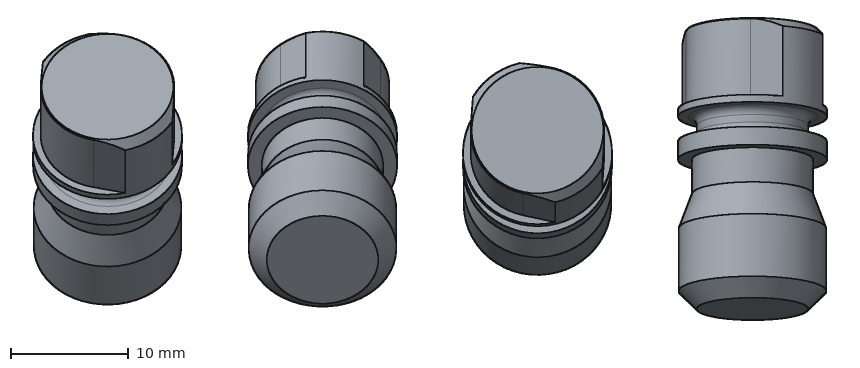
import cadquery as cq
import math

total_height = 24.13
head_base_z = 17.3
collar_base_z = 16.67
flange_top_z = 14.53
flange_base_z = 12.95
neck_base_z = 9.97
barrel_top_z = 6.97

rim_radius = 12.7 / 2
groove_radius = 9.5 / 2
neck_radius = 10.33 / 2
barrel_radius = 12.57 / 2

bottom_chamfer = 1.55
top_chamfer = 0.75
groove_fillet = 0.75

relief_radius = 5.7
flat_angle = 49.4


def turned_body():
    """Revolve the stepped profile from the bottom chamfer to the top chamfer."""
    groove_shoulder = groove_radius + groove_fillet
    arc_inset = groove_fillet * (1 - math.sqrt(0.5))
    profile = (
        cq.Workplane("XZ")
        .lineTo(barrel_radius - bottom_chamfer, 0)
        .lineTo(barrel_radius, bottom_chamfer)
        .lineTo(barrel_radius, barrel_top_z)
        .lineTo(neck_radius, neck_base_z)
        .lineTo(neck_radius, flange_base_z)
        .lineTo(rim_radius, flange_base_z)
        .lineTo(rim_radius, flange_top_z)
        .lineTo(groove_shoulder, flange_top_z)
        .threePointArc(
            (groove_radius + arc_inset, flange_top_z + arc_inset),
            (groove_radius, flange_top_z + groove_fillet),
        )
        .lineTo(groove_radius, collar_base_z - groove_fillet)
        .threePointArc(
            (groove_radius + arc_inset, collar_base_z - arc_inset),
            (groove_shoulder, collar_base_z),
        )
        .lineTo(rim_radius, collar_base_z)
        .lineTo(rim_radius, total_height - top_chamfer)
        .lineTo(rim_radius - top_chamfer, total_height)
        .lineTo(0, total_height)
        .close()
    )
    return profile.revolve(360, (0, 0, 0), (0, 1, 0))


def head_prism():
    """Extrude the head outline over the height of the flats."""
    tangent_angle = math.radians(flat_angle)
    rim_angle = tangent_angle - math.acos(relief_radius / rim_radius)
    rim_x = rim_radius * math.cos(rim_angle)
    rim_y = rim_radius * math.sin(rim_angle)
    tangent_x = relief_radius * math.cos(tangent_angle)
    tangent_y = relief_radius * math.sin(tangent_angle)
    return (
        cq.Workplane("XY", origin=(0, 0, head_base_z))
        .moveTo(rim_x, -rim_y)
        .threePointArc((rim_radius, 0), (rim_x, rim_y))
        .lineTo(tangent_x, tangent_y)
        .threePointArc((0, relief_radius), (-tangent_x, tangent_y))
        .lineTo(-rim_x, rim_y)
        .threePointArc((-rim_radius, 0), (-rim_x, -rim_y))
        .lineTo(-tangent_x, -tangent_y)
        .threePointArc((0, -relief_radius), (tangent_x, -tangent_y))
        .close()
        .extrude(total_height - head_base_z)
    )


head_blank = (
    cq.Workplane("XY", origin=(0, 0, head_base_z))
    .circle(2 * rim_radius)
    .extrude(total_height - head_base_z)
)
result = turned_body().cut(head_blank.cut(head_prism()))